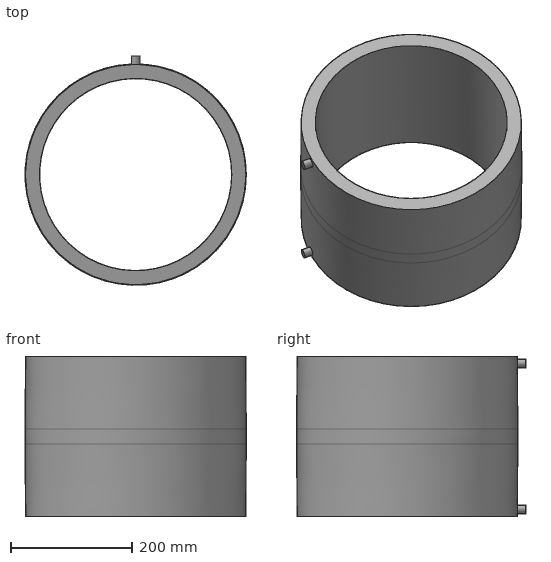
import cadquery as cq

height = 264.0
band_height = 24.2
band_radius = 182.53
end_radius = 181.5
bore_radius = 158.0

pin_diameter = 14.5
pin_tip_y = 378.3 - band_radius
pin_end_distance = 11.7
pin_root_y = (bore_radius + end_radius) / 2


def make_sleeve():
    half_height = height / 2
    half_band = band_height / 2
    wall_section = [
        (bore_radius, -half_height),
        (end_radius, -half_height),
        (band_radius, -half_band),
        (band_radius, half_band),
        (end_radius, half_height),
        (bore_radius, half_height),
    ]
    return cq.Workplane("XZ").polyline(wall_section).close().revolve(360, (0, 0, 0), (0, 1, 0))


def make_pin(axis_z):
    return (
        cq.Workplane("XZ", origin=(0, pin_tip_y, axis_z))
        .circle(pin_diameter / 2)
        .extrude(pin_tip_y - pin_root_y)
    )


result = make_sleeve()
pin_offset = height / 2 - pin_end_distance
for axis_z in (-pin_offset, pin_offset):
    result = result.union(make_pin(axis_z))